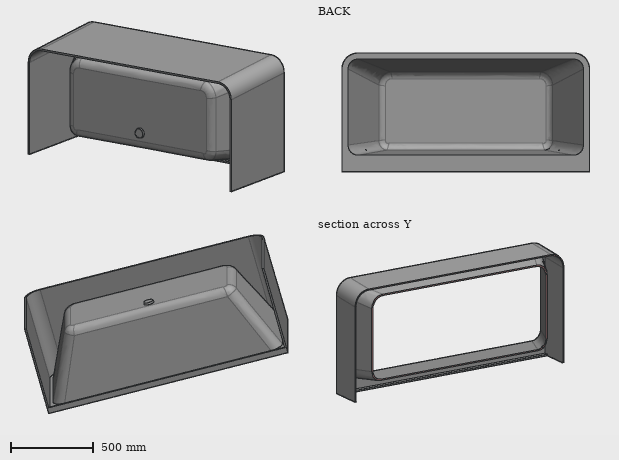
import cadquery as cq

length = 1500.0
depth = 560.0
height = 720.0
front_height = 675.0
half_length = length / 2
back_y = depth / 2
front_y = -depth / 2
sheet = 10.0
apron_radius = 98.0

lip_depth = 36.0

mouth_half_length = 723.0
mouth_bottom = 90.0
mouth_top = 693.0
mouth_bottom_radius = 72.0
mouth_top_radius = 70.0

floor_gap = 108.0
floor_y = front_y + floor_gap
floor_half_length = 525.0
floor_bottom = 125.0
floor_top = 608.0
floor_bottom_radius = 66.0
floor_top_radius = 88.0
floor_edge_radius = 54.0

drain_z = 226.0
drain_base_radius = 33.0
drain_end_radius = 28.0
drain_height = 12.0


def outline(y, half_width, bottom, top, bottom_radius, top_radius):
    """Closed rectangle in the XZ plane at y, with rounded bottom and top corners."""
    diagonal = 0.5 ** 0.5

    def corner(x_sign, z_sign, radius):
        edge_z = top if z_sign > 0 else bottom
        center_x = x_sign * (half_width - radius)
        center_z = edge_z - z_sign * radius
        middle = cq.Vector(center_x + x_sign * radius * diagonal, y, center_z + z_sign * radius * diagonal)
        on_side = cq.Vector(x_sign * half_width, y, center_z)
        on_edge = cq.Vector(center_x, y, edge_z)
        return on_side, middle, on_edge

    right_low, right_low_mid, low_right = corner(1, -1, bottom_radius)
    right_high, right_high_mid, high_right = corner(1, 1, top_radius)
    left_high, left_high_mid, high_left = corner(-1, 1, top_radius)
    left_low, left_low_mid, low_left = corner(-1, -1, bottom_radius)
    return cq.Wire.assembleEdges([
        cq.Edge.makeLine(low_left, low_right),
        cq.Edge.makeThreePointArc(low_right, right_low_mid, right_low),
        cq.Edge.makeLine(right_low, right_high),
        cq.Edge.makeThreePointArc(right_high, right_high_mid, high_right),
        cq.Edge.makeLine(high_right, high_left),
        cq.Edge.makeThreePointArc(high_left, left_high_mid, left_high),
        cq.Edge.makeLine(left_high, left_low),
        cq.Edge.makeThreePointArc(left_low, left_low_mid, low_left),
    ])


def apron_body(inset):
    """Solid under the sloping apron top, drawn in by inset on the top and sides."""
    side_profile = [
        (front_y, 0),
        (back_y, 0),
        (back_y, height - inset),
        (front_y, front_height - inset),
    ]
    half_width = half_length - inset
    body = cq.Workplane("YZ").polyline(side_profile).close().extrude(half_width, both=True)
    top_side_edges = body.faces(">Z").edges("<X or >X")
    return top_side_edges.fillet(apron_radius - inset)


def basin_body(inset):
    """Tapered basin volume, drawn in by inset, with a rounded floor edge."""
    mouth = outline(back_y, mouth_half_length - inset, mouth_bottom + inset, mouth_top - inset,
                    mouth_bottom_radius - inset, mouth_top_radius - inset)
    floor = outline(floor_y + inset, floor_half_length - inset, floor_bottom + inset, floor_top - inset,
                    floor_bottom_radius - inset, floor_top_radius - inset)
    body = cq.Workplane(cq.Solid.makeLoft([mouth, floor], True))
    return body.faces("<Y").edges().fillet(floor_edge_radius - inset)


def back_slab(thickness):
    """Slab of the given thickness lying against the mouth plane."""
    return cq.Workplane("XY").box(length, thickness, height, centered=(True, False, False)).translate(
        (0, back_y - thickness, 0))


def drain():
    """Slightly tapered round stub standing on the outside of the floor."""
    stub = cq.Solid.makeCone(drain_base_radius, drain_end_radius, drain_height + sheet / 2,
                             pnt=cq.Vector(0, floor_y + sheet / 2, drain_z), dir=cq.Vector(0, -1, 0))
    return cq.Workplane(stub)


outer = apron_body(0)
apron = outer.cut(apron_body(sheet))
rim = outer.intersect(back_slab(sheet))
lip = cq.Workplane("XY").box(length, lip_depth, sheet, centered=(True, False, False)).translate(
    (0, back_y - lip_depth, 0))

result = apron.union(rim).union(lip).union(basin_body(0)).cut(basin_body(sheet)).union(drain())